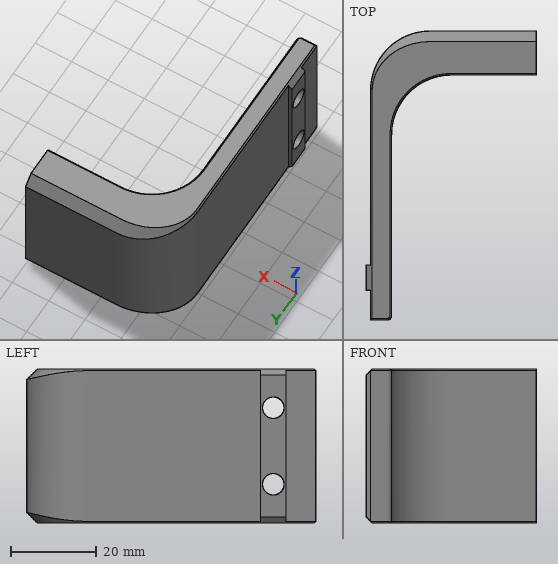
import cadquery as cq

total_x = 40.0
total_y = 68.0
height = 36.23

rail_projection = 1.0
arm_length = total_x - rail_projection
plate_thickness = 5.0
arm_thickness = 10.4
bend_radius = 14.0
plate_corner_radius = 1.0

small_chamfer = 0.4
arm_chamfer = 2.5

rail_width = 6.0
rail_end_distance = 7.0
hole_diameter = 5.0
hole_spacing = 18.0

plate_end_y = -total_y
rail_center_y = plate_end_y + rail_end_distance + rail_width / 2
top_z = height / 2

margin = 5.0


def make_bracket():
    """L-shaped body with chamfered plate end and inner rims."""
    outer_bend = (bend_radius, -bend_radius)
    inner_bend = (plate_thickness + bend_radius, -arm_thickness - bend_radius)
    body = (
        cq.Workplane("XY")
        .workplane(offset=-top_z)
        .moveTo(0, plate_end_y)
        .lineTo(0, outer_bend[1])
        .radiusArc((outer_bend[0], 0), bend_radius)
        .lineTo(arm_length, 0)
        .lineTo(arm_length, -arm_thickness)
        .lineTo(inner_bend[0], -arm_thickness)
        .radiusArc((plate_thickness, inner_bend[1]), -bend_radius)
        .lineTo(plate_thickness, plate_end_y + plate_corner_radius)
        .radiusArc((plate_thickness - plate_corner_radius, plate_end_y), plate_corner_radius)
        .close()
        .extrude(height)
    )
    inset = small_chamfer
    inner_side = cq.selectors.BoxSelector(
        (inset, plate_end_y - margin, -height),
        (arm_length - inset, -arm_thickness + inset, height),
    )
    return body.faces("<Z or >Z").edges(inner_side).chamfer(small_chamfer)


def make_rail():
    """Raised strip on the outer face of the plate, sunk into it to join solidly."""
    rail_depth = rail_projection + plate_thickness / 2
    rail = cq.Workplane("XY").box(rail_depth, rail_width, height, centered=(False, True, True))
    return rail.translate((-rail_projection, rail_center_y, 0))


def envelope_section(z, plate_inset, arm_inset):
    """Closed outline whose outer side is inset from the plate and arm outer faces.

    The insets differ, so the bend is a quarter ellipse about the bend centre.
    A negative inset lies outside the face.
    """
    far_x = arm_length + margin
    far_y = plate_end_y - margin
    bend = cq.Edge.makeEllipse(
        bend_radius - plate_inset,
        bend_radius - arm_inset,
        cq.Vector(bend_radius, -bend_radius, z),
        angle1=90,
        angle2=180,
    )
    corners = [
        cq.Vector(plate_inset, -bend_radius, z),
        cq.Vector(plate_inset, far_y, z),
        cq.Vector(far_x, far_y, z),
        cq.Vector(far_x, -arm_inset, z),
        cq.Vector(bend_radius, -arm_inset, z),
    ]
    sides = [cq.Edge.makeLine(a, b) for a, b in zip(corners, corners[1:])]
    return cq.Wire.assembleEdges([bend] + sides)


def make_envelope():
    """Trimming shape: its sloped rims form the chamfer that widens around the bend."""
    shoulder_z = top_z - arm_chamfer
    upper_rim = envelope_section(top_z, small_chamfer, arm_chamfer)
    upper_shoulder = envelope_section(shoulder_z, small_chamfer - arm_chamfer, 0)
    upper_slope = cq.Solid.makeLoft([upper_shoulder, upper_rim], True)
    lower_slope = upper_slope.mirror("XY")
    core = cq.Solid.extrudeLinear(upper_shoulder, [], cq.Vector(0, 0, -2 * shoulder_z))
    return cq.Workplane(obj=core).union(upper_slope).union(lower_slope)


def make_holes():
    """Two through holes along X, centred on the rail."""
    half_spacing = hole_spacing / 2
    return (
        cq.Workplane("YZ")
        .workplane(offset=-margin)
        .pushPoints([(rail_center_y, -half_spacing), (rail_center_y, half_spacing)])
        .circle(hole_diameter / 2)
        .extrude(plate_thickness + 2 * margin)
    )


result = make_bracket().union(make_rail()).intersect(make_envelope()).cut(make_holes())